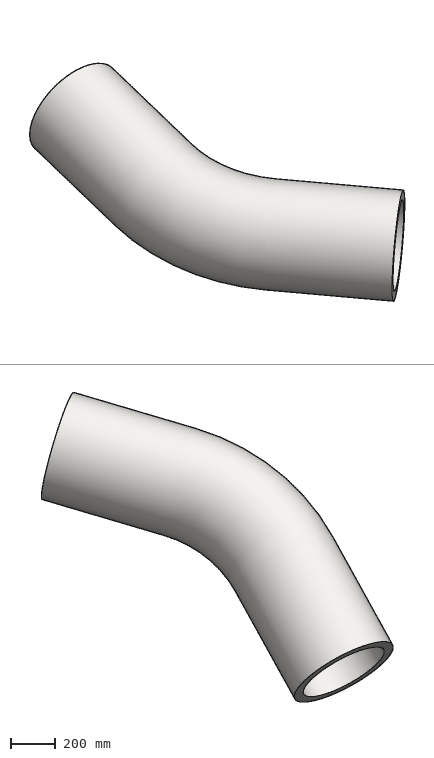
import cadquery as cq
import math

overall_length = 1713.0
outer_diameter = 500.0
bore_diameter = 410.0
bend_radius = 788.0
bend_angle = 45.0

bend_sin = math.sin(math.radians(bend_angle))
bend_cos = math.cos(math.radians(bend_angle))
bend_reach = (bend_radius + outer_diameter / 2) * bend_sin
leg_length = (overall_length - bend_reach) / (1 + bend_cos)

bend_end = (leg_length + bend_radius * bend_sin, bend_radius * (1 - bend_cos), 0)
far_direction = (bend_cos, bend_sin, 0)


def pipe_section(plane):
    """Ring-shaped cross-section of the pipe wall, centred on the plane's origin."""
    return cq.Workplane(plane).circle(outer_diameter / 2).circle(bore_diameter / 2)


near_leg = pipe_section("YZ").extrude(leg_length)

bend_plane = cq.Plane.named("YZ", origin=(leg_length, 0, 0))
bend = pipe_section(bend_plane).revolve(
    bend_angle, (bend_radius, 0), (bend_radius, 1)
)

far_plane = cq.Plane(origin=bend_end, xDir=(0, 0, 1), normal=far_direction)
far_leg = pipe_section(far_plane).extrude(leg_length)

result = near_leg.union(bend).union(far_leg)